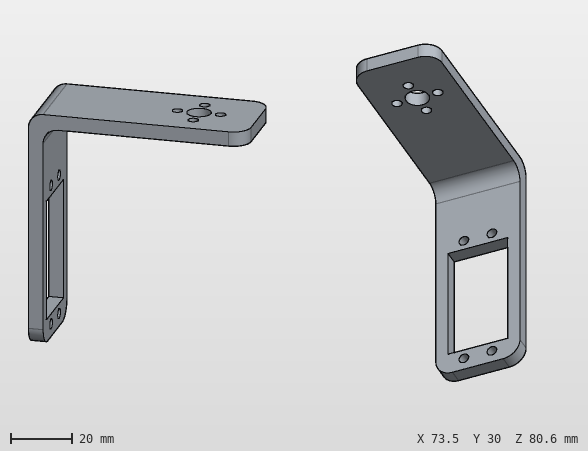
import cadquery as cq

length = 73.5
width = 30.0
height = 80.6
thickness = 5.0

bend_radius = 5.0
corner_radius = 6.0

horn_x = 53.5
horn_bore_diameter = 8.0
horn_screw_radius = 7.25
screw_diameter = 3.4

window_width = 21.2
window_height = 41.1
window_center_z = 28.45
mount_spacing_y = 10.0
mount_spacing_z = 48.05


def make_bracket():
    """L profile in XZ, with a rounded bend and rounded arm ends."""
    profile = [
        (0, 0),
        (thickness, 0),
        (thickness, height - thickness),
        (length, height - thickness),
        (length, height),
        (0, height),
    ]
    body = cq.Workplane("XZ").polyline(profile).close().extrude(width / 2, both=True)

    inner_bend = cq.selectors.NearestToPointSelector((thickness, 0, height - thickness))
    body = body.edges("|Y").edges(inner_bend).fillet(bend_radius)
    body = body.faces("<X").edges(">Z").fillet(bend_radius)
    body = body.faces(">X").edges("|Z").fillet(corner_radius)
    return body.faces("<Z").edges("|X").fillet(corner_radius)


def make_horn_holes():
    """Central bore with four screw holes around it, through the horizontal arm."""
    plane = cq.Workplane("XY", origin=(horn_x, 0, height - thickness))
    bore = plane.circle(horn_bore_diameter / 2).extrude(thickness)
    screws = (
        plane.polarArray(horn_screw_radius, 0, 360, 4)
        .circle(screw_diameter / 2)
        .extrude(thickness)
    )
    return bore.union(screws)


def make_servo_cutout():
    """Rectangular window with two screw holes above and two below it."""
    plane = cq.Workplane("YZ", origin=(0, 0, window_center_z))
    window = plane.rect(window_width, window_height).extrude(thickness)
    screws = (
        plane.rect(mount_spacing_y, mount_spacing_z, forConstruction=True)
        .vertices()
        .circle(screw_diameter / 2)
        .extrude(thickness)
    )
    return window.union(screws)


result = make_bracket().cut(make_horn_holes()).cut(make_servo_cutout())